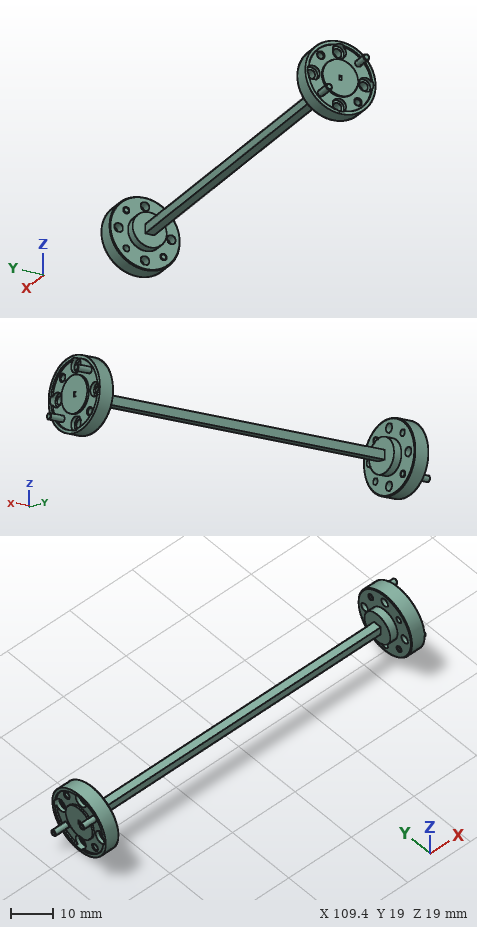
import cadquery as cq

overall_length = 109.4

flange_diameter = 19.0
flange_thickness = 4.3
back_chamfer = 0.2
hub_diameter = 9.2
hub_length = 2.3

recess_inner_diameter = 9.5
recess_outer_diameter = 17.3
recess_depth = 0.5

bolt_circle_radius = 7.1
bolt_hole_diameter = 2.3
counterbore_diameter = 3.6
counterbore_depth = 1.6
bolt_hole_angles = (0, 90)

pin_diameter = 1.6
pin_projection = 3.7
pin_angle = 45
pin_chamfer = 0.16
mating_hole_diameter = 1.6
mating_hole_chamfer = 0.2
mating_hole_angle = pin_angle + 90

tube_side = 2.4
bore_width = 0.5
bore_height = 1.1

mating_face_x = overall_length / 2 - pin_projection
flange_back_x = mating_face_x - flange_thickness
hub_end_x = flange_back_x - hub_length
recess_floor_x = mating_face_x - recess_depth
counterbore_floor_x = mating_face_x - counterbore_depth
pin_length = flange_thickness + pin_projection
flange_turns = (0, 180)


def yz_plane(x):
    """Workplane facing +X at the given X."""
    return cq.Workplane("YZ", origin=(x, 0, 0))


def cylinder(x, length, diameter):
    """Cylinder on the X axis, from x toward +X."""
    return yz_plane(x).circle(diameter / 2).extrude(length)


def opposite_points(x, angle):
    """Two opposite points on the bolt circle at the given X."""
    return yz_plane(x).polarArray(bolt_circle_radius, angle, 360, 2)


def opposite_cylinders(angle, diameter, x, length):
    """Two opposite cylinders on the bolt circle, parallel to X."""
    return opposite_points(x, angle).circle(diameter / 2).extrude(length)


def make_mating_holes():
    """Cutting shape of the two pin holes, each with a chamfered mouth at the recess floor."""
    mouth = (
        opposite_points(recess_floor_x, mating_hole_angle)
        .circle(mating_hole_diameter / 2 + mating_hole_chamfer)
        .extrude(-mating_hole_chamfer, taper=45)
    )
    holes = opposite_cylinders(mating_hole_angle, mating_hole_diameter, flange_back_x, flange_thickness)
    return holes.union(mouth)


def make_flange():
    """Flange and hub at the +X end, mating face toward +X."""
    disc = cylinder(flange_back_x, flange_thickness, flange_diameter)
    disc = disc.faces("<X").edges().chamfer(back_chamfer)
    flange = disc.union(cylinder(hub_end_x, hub_length, hub_diameter))

    recess = (
        yz_plane(recess_floor_x)
        .circle(recess_outer_diameter / 2)
        .circle(recess_inner_diameter / 2)
        .extrude(recess_depth)
    )
    flange = flange.cut(recess)

    for angle in bolt_hole_angles:
        flange = flange.cut(opposite_cylinders(angle, bolt_hole_diameter, flange_back_x, flange_thickness))
        flange = flange.cut(
            opposite_cylinders(angle, counterbore_diameter, counterbore_floor_x, counterbore_depth)
        )

    flange = flange.cut(opposite_cylinders(pin_angle, pin_diameter, flange_back_x, flange_thickness))
    return flange.cut(make_mating_holes())


def make_waveguide():
    """Tube with a flange at each end, bored through."""
    waveguide = cq.Workplane("XY").box(2 * hub_end_x, tube_side, tube_side)
    for turn in flange_turns:
        waveguide = waveguide.union(make_flange().rotate((0, 0, 0), (0, 0, 1), turn))
    bore = cq.Workplane("XY").box(2 * mating_face_x, bore_width, bore_height)
    return waveguide.cut(bore)


def make_pins():
    """Two dowel pins in each flange, chamfered at both ends."""
    pins = []
    for turn in flange_turns:
        pair = opposite_cylinders(pin_angle, pin_diameter, flange_back_x, pin_length)
        pair = pair.faces("<X or >X").edges().chamfer(pin_chamfer)
        pins.extend(pair.rotate((0, 0, 0), (0, 0, 1), turn).solids().vals())
    return pins


waveguide = make_waveguide()
pins = make_pins()

result = cq.Compound.makeCompound([waveguide.val(), *pins])